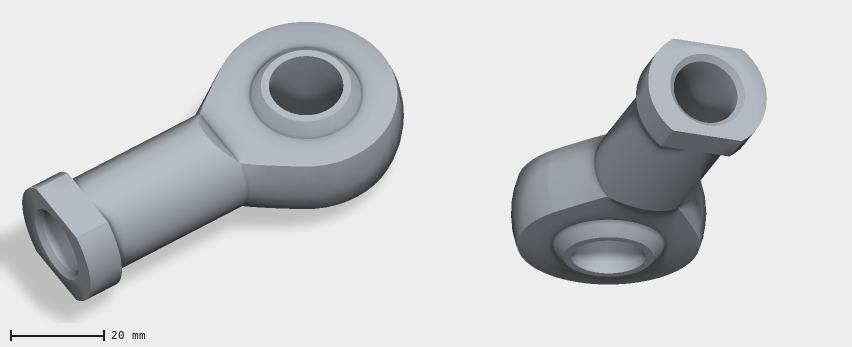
import cadquery as cq
import math


head_radius = 21.0
head_thickness = 15.0
ball_diameter = 28.575
ball_width = 21.0
eye_bore_diameter = 16.0

shank_radius = 11.0
shank_start = 22.0
shank_end = 64.0
collar_diameter = 27.0
collar_length = 8.0
collar_across_flats = 2 * shank_radius

core_diameter = 14.5
core_depth = 28.0
drill_point_angle = 118.0
countersink_diameter = 17.0

head_half = head_thickness / 2
core_radius = core_diameter / 2


def revolve_about_y(profile):
    """Close a half outline along the Y axis and turn it into a solid."""
    return profile.close().revolve(360, (0, 0, 0), (0, 1, 0))


def make_body():
    """Spherical head, tangent conical neck and cylindrical shank, all turned about Y."""
    corner_angle = math.atan2(shank_radius, shank_start)
    corner_distance = math.hypot(shank_radius, shank_start)
    tangent_angle = corner_angle + math.acos(head_radius / corner_distance)
    tangent_point = (head_radius * math.sin(tangent_angle), -head_radius * math.cos(tangent_angle))

    profile = (
        cq.Workplane("XY")
        .moveTo(0, head_radius)
        .threePointArc((head_radius, 0), tangent_point)
        .lineTo(shank_radius, -shank_start)
        .lineTo(shank_radius, -shank_end)
        .lineTo(0, -shank_end)
    )
    return revolve_about_y(profile)


def make_flats_envelope():
    """Side outline that flattens the head and slopes out at 45 degrees to the full shank."""
    slope_end = shank_start + shank_radius - head_half
    return (
        cq.Workplane("YZ")
        .moveTo(head_radius, head_half)
        .lineTo(-shank_start, head_half)
        .lineTo(-slope_end, shank_radius)
        .lineTo(-shank_end, shank_radius)
        .lineTo(-shank_end, -shank_radius)
        .lineTo(-slope_end, -shank_radius)
        .lineTo(-shank_start, -head_half)
        .lineTo(head_radius, -head_half)
        .close()
        .extrude(head_radius, both=True)
    )


def make_collar():
    """Round collar at the shank end with two wrench flats facing up and down."""
    collar_start = shank_end - collar_length
    collar_plane = cq.Workplane("XZ", origin=(0, -collar_start, 0))
    collar = collar_plane.circle(collar_diameter / 2).extrude(collar_length)
    flats = cq.Workplane("XY").box(collar_diameter, 2 * shank_end, collar_across_flats)
    return collar.intersect(flats)


def make_ball():
    """Ball truncated by two flat faces."""
    faces = cq.Workplane("XY").box(ball_diameter, ball_diameter, ball_width)
    return cq.Workplane("XY").sphere(ball_diameter / 2).intersect(faces)


def make_eye_bore():
    """Plain bore through the ball from face to face."""
    lower_face = cq.Workplane("XY", origin=(0, 0, -ball_width / 2))
    return lower_face.circle(eye_bore_diameter / 2).extrude(ball_width)


def make_core_hole():
    """Blind hole with a 45 degree countersink and a conical drill point."""
    countersink_radius = countersink_diameter / 2
    countersink_depth = countersink_radius - core_radius
    point_length = core_radius / math.tan(math.radians(drill_point_angle / 2))
    bottom = -shank_end + core_depth
    profile = (
        cq.Workplane("XY")
        .moveTo(0, -shank_end)
        .lineTo(countersink_radius, -shank_end)
        .lineTo(core_radius, -shank_end + countersink_depth)
        .lineTo(core_radius, bottom)
        .lineTo(0, bottom + point_length)
    )
    return revolve_about_y(profile)


body = make_body().intersect(make_flats_envelope())
result = body.union(make_collar()).union(make_ball()).cut(make_eye_bore()).cut(make_core_hole())